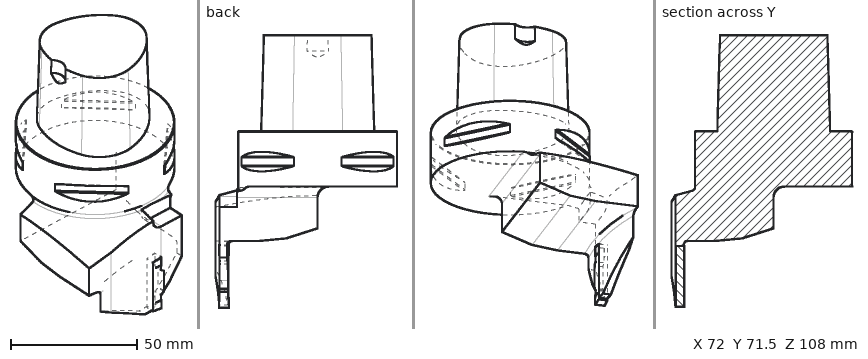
import cadquery as cq
import math


overcut = 1.0

shank_height = 38.0
nose_reach = 23.47
flank_reach = 20.97
nose_centre_reach = 7.5
shank_taper = 1 / 35
nose_angles = (90, 210, 330)
half_spacing = 60

notch_radius = 5.35
notch_depth = 6.25
notch_back_y = -17.75

flange_diameter = 63.0
flange_radius = flange_diameter / 2
flange_height = 22.0
flange_chamfer = 0.3

groove_angles = (45, 135, 225, 315)
groove_z = -12.05
groove_floor_reach = 27.9
groove_wall_reach = 28.25
groove_floor_width = 3.1
groove_mouth_width = 4.0
groove_wall_angle = 30.0

arm_back_y = 11.1
arm_front_y = -40.0
overall_x = 72.03
arm_end_x = overall_x - flange_radius
arm_bottom_z = -43.5
arm_cove = 4.2
facet_points = ((0.0, -38.5), (12.5, -42.5), (23.0, arm_bottom_z))

cone_angle = 15.0
cone_start_z = -23.22
cone_cove = 1.3
cone_outer_radius = 65.0

ledge_x = 32.0
ledge_z = -30.0
ledge_cove = 4.2

blade_near_x = 35.35
blade_far_x = 38.87
blade_near_radius = 115.0
blade_far_radius = 245.0
blade_root_cove = 1.6
blade_front_y = -34.0
blade_front_z = -54.2
blade_bottom_z = -68.8
blade_slope_end_y = -8.9
finger_back_z = -50.0
finger_knee = (4.5, -59.2)
finger_tip_z = -62.2

insert_tip_z = -70.0
insert_top_z = -45.1
insert_back_y = -4.45
insert_waist_y = 1.45
insert_head_length = 6.3
insert_shoulder = 1.1
insert_relief = 0.45
insert_width = 3.5
edge_width = 4.1
edge_pad_length = 3.9
edge_pad_width = 3.86
edge_pad_back_width = 3.27
insert_centre_x = (blade_near_x + blade_far_x) / 2


def polar(radius, angle):
    return (radius * math.cos(math.radians(angle)), radius * math.sin(math.radians(angle)))


def shank_profile(z):
    """Six tangent arcs, three tight noses and three shallow flanks, moved inward by the taper."""
    inset = shank_taper * z
    nose_radius = nose_reach - nose_centre_reach
    step = nose_reach - flank_reach
    flank_centre_reach = step * (2 * nose_centre_reach - step) / (nose_centre_reach - 2 * step)

    def junction(nose_angle, flank_angle):
        nx, ny = polar(nose_centre_reach, nose_angle)
        fx, fy = polar(flank_centre_reach, flank_angle + 180)
        gap = math.hypot(nx - fx, ny - fy)
        reach = (nose_radius - inset) / gap
        return (nx + (nx - fx) * reach, ny + (ny - fy) * reach)

    start = junction(nose_angles[0], nose_angles[0] - half_spacing)
    profile = cq.Workplane("XY").workplane(offset=z).moveTo(*start)
    for angle in nose_angles:
        profile = profile.threePointArc(
            polar(nose_reach - inset, angle),
            junction(angle, angle + half_spacing),
        )
        profile = profile.threePointArc(
            polar(flank_reach - inset, angle + half_spacing),
            junction(angle + 2 * half_spacing, angle + half_spacing),
        )
    return profile.close().wires().val()


def make_shank():
    shank = cq.Workplane(cq.Solid.makeLoft([shank_profile(0), shank_profile(shank_height)], True))
    notch_floor_z = shank_height - notch_depth
    notch = (
        cq.Workplane("XZ")
        .polyline(
            [
                (0, shank_height + overcut),
                (notch_radius, shank_height + overcut),
                (notch_radius, notch_floor_z),
                (0, notch_floor_z - notch_radius),
            ]
        )
        .close()
        .revolve(360, (0, 0, 0), (0, 1, 0))
        .translate((0, notch_back_y - notch_radius, 0))
    )
    return shank.cut(notch)


def make_envelope():
    """Solid of revolution that bounds the flange and the sloping top of the arm."""
    slope = math.tan(math.radians(cone_angle))
    corner_angle = math.radians(90 - cone_angle)
    tangent = cone_cove * math.tan(corner_angle / 2)
    cove_end = (
        flange_radius + tangent * math.cos(math.radians(cone_angle)),
        cone_start_z - tangent * math.sin(math.radians(cone_angle)),
    )
    cove_centre = (flange_radius + cone_cove, cone_start_z + tangent)
    half_dx, half_dz = polar(cone_cove, 180 + (90 - cone_angle) / 2)
    cone_end_z = cone_start_z - (cone_outer_radius - flange_radius) * slope
    return (
        cq.Workplane("XZ")
        .moveTo(0, 0)
        .lineTo(flange_radius - flange_chamfer, 0)
        .lineTo(flange_radius, -flange_chamfer)
        .lineTo(flange_radius, cove_centre[1])
        .threePointArc((cove_centre[0] + half_dx, cove_centre[1] + half_dz), cove_end)
        .lineTo(cone_outer_radius, cone_end_z)
        .lineTo(cone_outer_radius, arm_bottom_z)
        .lineTo(0, arm_bottom_z)
        .close()
        .revolve(360, (0, 0, 0), (0, 1, 0))
    )


def far_face_limit():
    """Everything on the -X side of the slightly curved +X face."""
    axis = (blade_far_x + blade_far_radius, 0)
    depth = -insert_tip_z
    bend_x = axis[0] - math.sqrt(blade_far_radius**2 - arm_front_y**2)
    bend_half_y = arm_front_y / 2
    bend_half_x = axis[0] - math.sqrt(blade_far_radius**2 - bend_half_y**2)
    return (
        cq.Workplane("XY")
        .moveTo(-flange_radius, arm_front_y)
        .lineTo(bend_x, arm_front_y)
        .threePointArc((bend_half_x, bend_half_y), (blade_far_x, 0))
        .lineTo(blade_far_x, flange_radius)
        .lineTo(-flange_radius, flange_radius)
        .close()
        .extrude(-depth)
    )


def make_flange_and_arm():
    plate_back_y = flange_radius + overcut
    plate_left_x = -flange_radius - overcut
    plate = cq.Workplane("XY").box(
        arm_end_x - plate_left_x, plate_back_y - arm_front_y, flange_height, centered=False
    ).translate((plate_left_x, arm_front_y, -flange_height))
    arm = (
        cq.Workplane("XZ", origin=(0, arm_back_y, 0))
        .polyline(
            [
                (0, -flange_height),
                *facet_points,
                (arm_end_x, arm_bottom_z),
                (arm_end_x, -flange_height),
            ]
        )
        .close()
        .extrude(arm_back_y - arm_front_y)
    )
    near_edge = cq.selectors.NearestToPointSelector((0, arm_front_y / 2, -flange_height))
    back_edge = cq.selectors.NearestToPointSelector((arm_end_x / 2, arm_back_y, -flange_height))
    body = plate.union(arm)
    body = body.edges(cq.selectors.SumSelector(near_edge, back_edge)).fillet(arm_cove)
    body = body.intersect(make_envelope()).intersect(far_face_limit())
    return body.cut(make_ledge_cutter())


def make_ledge_cutter():
    wall_y = -ledge_cove
    width = arm_end_x - ledge_x
    return (
        cq.Workplane("YZ", origin=(ledge_x, 0, 0))
        .moveTo(wall_y, 0)
        .lineTo(wall_y, ledge_z + ledge_cove)
        .radiusArc((0, ledge_z), -ledge_cove)
        .lineTo(flange_radius, ledge_z)
        .lineTo(flange_radius, 0)
        .close()
        .extrude(width)
    )


def cut_gripper_grooves(body):
    outer = flange_radius + overcut
    flare = (outer - groove_wall_reach) * math.tan(math.radians(groove_wall_angle))
    half = groove_floor_width / 2
    mouth = groove_mouth_width / 2
    groove = (
        cq.Workplane("XZ", origin=(0, flange_radius, groove_z))
        .polyline(
            [
                (groove_floor_reach, half),
                (groove_wall_reach, mouth),
                (outer, mouth + flare),
                (outer, -mouth - flare),
                (groove_wall_reach, -mouth),
                (groove_floor_reach, -half),
            ]
        )
        .close()
        .extrude(flange_diameter)
    )
    for angle in groove_angles:
        body = body.cut(groove.rotate((0, 0, 0), (0, 0, 1), angle))
    return body


def make_blade():
    """Curved blade with its root cove and the clamping finger, shaped by its side outline."""
    axis_x = blade_near_x + blade_near_radius
    inner = blade_near_radius - (arm_end_x - blade_near_x)
    cove_z = arm_bottom_z - blade_root_cove
    curved_wall = (
        cq.Workplane("XZ")
        .moveTo(inner, arm_bottom_z)
        .lineTo(blade_near_radius + blade_root_cove, arm_bottom_z)
        .radiusArc((blade_near_radius, cove_z), -blade_root_cove)
        .lineTo(blade_near_radius, insert_tip_z)
        .lineTo(inner, insert_tip_z)
        .close()
        .revolve(360, (0, 0, 0), (0, 1, 0))
        .translate((axis_x, 0, 0))
    )
    side = (
        cq.Workplane("YZ")
        .polyline(
            [
                (arm_back_y, arm_bottom_z),
                (arm_back_y, finger_back_z),
                finger_knee,
                (insert_waist_y, finger_tip_z),
                (insert_back_y, finger_tip_z),
                (insert_back_y, blade_bottom_z),
                (blade_slope_end_y, blade_bottom_z),
                (blade_front_y, blade_front_z),
                (blade_front_y, cove_z),
                (arm_front_y, cove_z),
                (arm_front_y, arm_bottom_z),
            ]
        )
        .close()
        .extrude(arm_end_x)
    )
    return side.intersect(curved_wall).intersect(far_face_limit())


def insert_prism(start_x, width):
    """Insert side outline extruded along X: two cutting heads and a raised waist."""
    top_waist_z = insert_top_z - insert_head_length
    low_waist_z = insert_tip_z + insert_head_length
    return (
        cq.Workplane("YZ", origin=(start_x, 0, 0))
        .polyline(
            [
                (0, insert_top_z),
                (0, top_waist_z),
                (insert_waist_y, top_waist_z - insert_shoulder),
                (insert_waist_y, low_waist_z + insert_shoulder),
                (0, low_waist_z),
                (0, insert_tip_z),
                (insert_back_y, insert_tip_z + insert_relief),
                (insert_back_y, insert_top_z - insert_relief),
            ]
        )
        .close()
        .extrude(width)
    )


def make_cutting_head(edge_z, inward):
    """Head that is widest along its cutting edge and narrows inward and toward the back."""
    pad_z = edge_z + inward * edge_pad_length

    def section(y, end_z, end_width, inner_width):
        corners = [
            (insert_centre_x - end_width / 2, y, end_z),
            (insert_centre_x + end_width / 2, y, end_z),
            (insert_centre_x + inner_width / 2, y, pad_z),
            (insert_centre_x - inner_width / 2, y, pad_z),
        ]
        return cq.Wire.makePolygon([cq.Vector(*corner) for corner in corners], close=True)

    front = section(0, edge_z, edge_width, edge_pad_width)
    back = section(insert_back_y, edge_z + inward * insert_relief, insert_width, edge_pad_back_width)
    return cq.Workplane(cq.Solid.makeLoft([front, back], True))


def make_insert():
    body = insert_prism(insert_centre_x - insert_width / 2, insert_width)
    for edge_z, inward in ((insert_top_z, -1), (insert_tip_z, 1)):
        body = body.union(make_cutting_head(edge_z, inward))
    return body


def make_holder():
    body = cut_gripper_grooves(make_flange_and_arm())
    body = body.union(make_shank()).union(make_blade())
    return body.cut(insert_prism(ledge_x, arm_end_x - ledge_x))


holder = make_holder()
insert = make_insert()
result = cq.Compound.makeCompound([holder.val(), insert.val()])